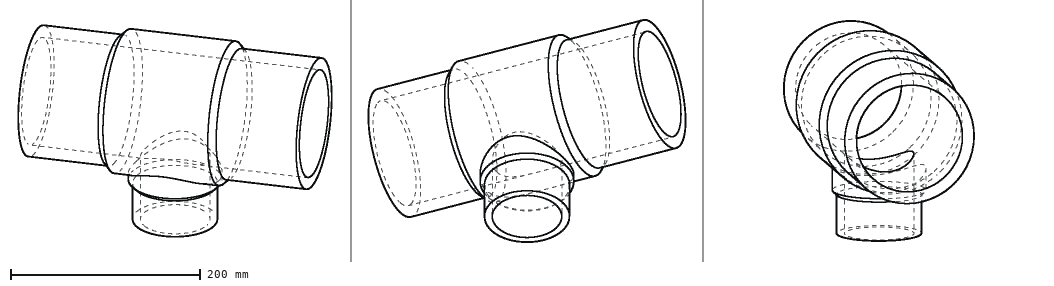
import cadquery as cq

pipe_length = 305.0
pipe_diameter = 140.0
pipe_bore = 114.7

body_length = 129.5
body_diameter = 154.0
body_chamfer_length = 7.3

overall_height = 207.0
branch_diameter = 90.0
branch_bore = 73.5
collar_diameter = 99.0
collar_depth = 88.0
collar_chamfer = (collar_diameter - branch_diameter) / 2
branch_depth = overall_height - body_diameter / 2


def pipe_cylinder(diameter):
    """Cylinder along X with the full pipe length, centred on the origin."""
    return cq.Workplane("YZ").circle(diameter / 2).extrude(pipe_length / 2, both=True)


def branch_cylinder(diameter, depth):
    """Cylinder from the pipe axis down to the given depth."""
    return cq.Workplane("XY").circle(diameter / 2).extrude(-depth)


def thick_body():
    """Middle body whose conical ends slope down to the pipe diameter."""
    half_length = body_length / 2
    shoulder = half_length - body_chamfer_length
    return (
        cq.Workplane("XY")
        .moveTo(-half_length, 0)
        .lineTo(-half_length, pipe_diameter / 2)
        .lineTo(-shoulder, body_diameter / 2)
        .lineTo(shoulder, body_diameter / 2)
        .lineTo(half_length, pipe_diameter / 2)
        .lineTo(half_length, 0)
        .close()
        .revolve(360, (0, 0, 0), (1, 0, 0))
    )


collar = branch_cylinder(collar_diameter, collar_depth).faces("<Z").chamfer(collar_chamfer)
branch = branch_cylinder(branch_diameter, branch_depth).union(collar)

outside = pipe_cylinder(pipe_diameter).union(thick_body()).union(branch)

result = outside.cut(pipe_cylinder(pipe_bore)).cut(branch_cylinder(branch_bore, branch_depth))